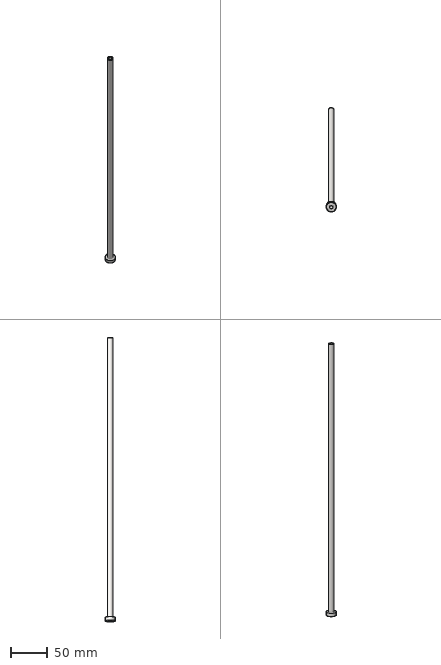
import cadquery as cq

overall_length = 400.0
head_diameter = 14.0
head_thickness = 5.0
shaft_diameter = 8.0
bore_diameter = 4.5
neck_fillet_radius = 0.5

head_radius = head_diameter / 2
shaft_radius = shaft_diameter / 2
bore_radius = bore_diameter / 2


def make_sleeve():
    """Revolve the half section, seen in the XZ plane on the -X side, about the Z axis."""
    half_section = (
        cq.Workplane("XZ")
        .moveTo(-bore_radius, 0)
        .lineTo(-head_radius, 0)
        .lineTo(-head_radius, head_thickness)
        .lineTo(-shaft_radius - neck_fillet_radius, head_thickness)
        .radiusArc((-shaft_radius, head_thickness + neck_fillet_radius), -neck_fillet_radius)
        .lineTo(-shaft_radius, overall_length)
        .lineTo(-bore_radius, overall_length)
        .close()
    )
    return half_section.revolve(360, (0, 0, 0), (0, 1, 0))


result = make_sleeve()